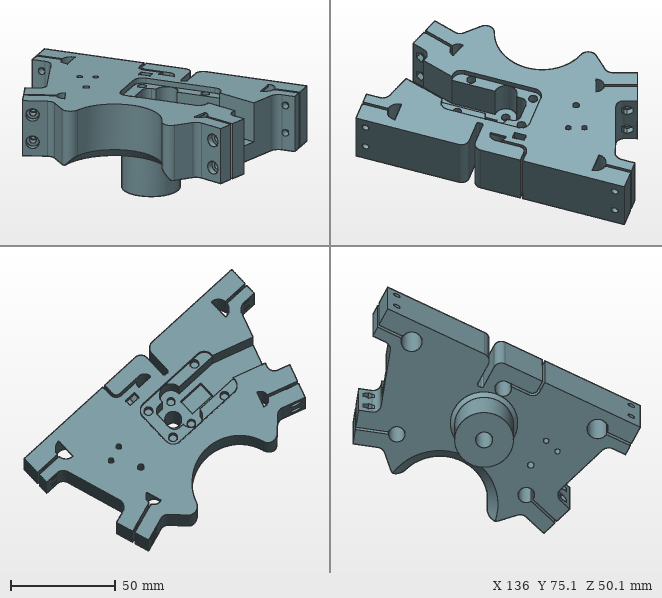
import cadquery as cq
import math

body_height = 28.3
mid_height = body_height / 2
half_width = 68.0
back_y = 32.0
slit_width = 1.2
corner_radius = 4.0

arm_underside_y = 16.0
shoulder_radius = 4.5
upper_slit_y = 21.9
upper_relief_radius = 5.0
upper_relief_x = 50.0
upper_screw_heights = (9.0, 23.0)

arm_tilt = 18.0
slit_mouth = (53.9, -30.2)
arm_above_slit = 9.5
arm_below_slit = 8.2
flank_inset = 10.3
lower_relief_radius = 4.0
lower_relief_inset = 20.0
lower_screw_heights = (7.1, 21.1)

screw_inset = 4.9
screw_diameter = 3.4
head_diameter = 6.4
head_depth = 3.3
nut_across_flats = 5.6
nut_depth = 3.0

relief_skin = 1.1

bay_radius = 23.0
bay_center_y = -47.0
bay_bevel = 4.9
toe_radius = 4.4
knee_radius = 4.0
toe_line_offset = 71.0

boss_radius = 14.1
boss_length = 21.8
boss_flare = 2.0
bore_diameter = 8.2

ledge_left = -12.2
ledge_right = 32.5
ledge_half_width = 12.8
ledge_depth = 2.7
ledge_corner_radius = 4.5
ledge_hole_diameter = 4.2
ledge_hole_depth = 5.5
ledge_hole_points = [(-8.2, 8.7), (-8.2, -8.7), (23.8, 10.6), (23.8, -10.6)]
cavity_left = -6.1
cavity_half_width = 7.3
cavity_depth = 20.0
cavity_corner_radius = 3.5
lobe_radius = 5.5
lobe_points = [(5.2, 7.2), (5.2, -7.2)]
lobe_hole_diameter = 4.0
floor_hole_depth = 4.1
floor_pocket_x = (8.7, 21.9)
floor_pocket_width = 8.3

notch_x = 10.3
notch_width = 3.1
notch_bottom_y = 15.9
notch_bottom_radius = 1.0
hook_slit_x = -15.9
hook_slit_y = 23.4
hook_bend_radius = 3.3
hook_end_x = -0.1
hook_relief_radius = 4.0

vee_x = (-13.0, -7.2)
vee_y = (16.3, 19.6)
vee_wall = 4.1
vee_slope = 30.0

small_holes = [(-38.1, 2.9, 2.6), (-30.7, 5.3, 2.6), (-29.8, -9.2, 3.1)]

tilt = math.radians(arm_tilt)


def on_arm(u, v):
    """Point of the right lower arm, given along (u) and across (v) the arm."""
    x = slit_mouth[0] + u * math.cos(tilt) + v * math.sin(tilt)
    y = slit_mouth[1] - u * math.sin(tilt) + v * math.cos(tilt)
    return (x, y)


def mirrored(point):
    return (-point[0], point[1])


def block(x_range, y_range, z_range):
    """Axis-aligned box between the given limits."""
    return (
        cq.Workplane("XY", origin=(0, 0, z_range[0]))
        .moveTo(sum(x_range) / 2, sum(y_range) / 2)
        .rect(x_range[1] - x_range[0], y_range[1] - y_range[0])
        .extrude(z_range[1] - z_range[0])
    )


def from_top(depth):
    """Height range of a pocket cut down from the top face."""
    return (body_height - depth, body_height)


def round_edge(solid, point, radius):
    """Round the upright edge that stands nearest to the given point."""
    target = (point[0], point[1], mid_height)
    return solid.edges("|Z").edges(cq.NearestToPointSelector(target)).fillet(radius)


def with_mirror(solid):
    return solid.union(solid.mirror("YZ"))


def make_body():
    flank_x, flank_y = on_arm(-flank_inset, 0)
    flank_top = (flank_x + (arm_underside_y - flank_y) * math.tan(tilt), arm_underside_y)
    armpit = on_arm(-flank_inset, arm_above_slit)
    base_x, base_y = on_arm(0, -arm_below_slit)
    knee_u = (toe_line_offset - (base_x - base_y)) / (math.cos(tilt) + math.sin(tilt))
    knee = on_arm(knee_u, -arm_below_slit)
    reach = toe_line_offset + bay_center_y
    toe_x = (reach + math.sqrt(2 * bay_radius**2 - reach**2)) / 2
    toe = (toe_x, toe_x - toe_line_offset)

    right_side = [
        (half_width, back_y),
        (half_width, arm_underside_y),
        flank_top,
        armpit,
        on_arm(0, arm_above_slit),
        on_arm(0, -arm_below_slit),
        knee,
        toe,
    ]
    left_side = [mirrored(point) for point in reversed(right_side)]
    body = (
        cq.Workplane("XY")
        .polyline(right_side)
        .threePointArc((0, bay_center_y + bay_radius), mirrored(toe))
        .polyline(left_side, includeCurrent=False)
        .close()
        .extrude(body_height)
    )
    roundings = [
        (flank_top, shoulder_radius),
        (armpit, corner_radius),
        (knee, knee_radius),
        (toe, toe_radius),
    ]
    for corner, radius in roundings:
        body = round_edge(body, corner, radius)
        body = round_edge(body, mirrored(corner), radius)
    bevel = cq.Workplane("XY").add(
        cq.Solid.makeCone(bay_radius + bay_bevel, bay_radius, bay_bevel, pnt=cq.Vector(0, bay_center_y, 0))
    )
    return body.cut(bevel)


def make_boss():
    profile = [
        (0, 0),
        (boss_radius + boss_flare, 0),
        (boss_radius, -boss_flare),
        (boss_radius, -boss_length),
        (0, -boss_length),
    ]
    return cq.Workplane("XZ").polyline(profile).close().revolve(360, (0, 0, 0), (0, 1, 0))


def skinned_relief(radius):
    """Round hole on the Z axis; in the skin under the top face only its half at x > 0 is open."""
    hole = cq.Workplane("XY").circle(radius).extrude(body_height)
    skin = block((-radius, 0), (-radius, radius), from_top(relief_skin))
    return hole.cut(skin)


def clamp_cut(length, relief_radius):
    """Slit along X from x = 0 inward, ending in a relief whose covered half is on the inner side."""
    slit = block((-length, 0), (-slit_width / 2, slit_width / 2), (0, body_height))
    return slit.union(skinned_relief(relief_radius).translate((-length, 0, 0)))


def upper_arm_cuts():
    cuts = clamp_cut(half_width - upper_relief_x, upper_relief_radius)
    cuts = cuts.translate((half_width, upper_slit_y, 0))
    screw_length = back_y - arm_underside_y + shoulder_radius
    for height in upper_screw_heights:
        screw = (
            cq.Workplane("XZ", origin=(half_width - screw_inset, back_y, height))
            .circle(screw_diameter / 2)
            .extrude(screw_length)
        )
        cuts = cuts.union(screw)
    return with_mirror(cuts)


def lower_arm_cuts():
    cuts = clamp_cut(lower_relief_inset, lower_relief_radius)
    for height in lower_screw_heights:
        nut_face = cq.Workplane("XZ", origin=(-screw_inset, arm_above_slit, height))
        head_face = cq.Workplane("XZ", origin=(-screw_inset, -arm_below_slit, height))
        screw = nut_face.circle(screw_diameter / 2).extrude(arm_above_slit + arm_below_slit)
        nut = (
            nut_face.transformed(rotate=(0, 0, 90))
            .polygon(6, nut_across_flats / math.cos(math.pi / 6))
            .extrude(nut_depth)
        )
        head = head_face.circle(head_diameter / 2).extrude(-head_depth)
        cuts = cuts.union(screw).union(nut).union(head)
    cuts = cuts.rotate((0, 0, 0), (0, 0, 1), -arm_tilt).translate((*slit_mouth, 0))
    return with_mirror(cuts)


def top_recess():
    floor = body_height - cavity_depth
    ledge = block((ledge_left, ledge_right), (-ledge_half_width, ledge_half_width), from_top(ledge_depth))
    ledge = ledge.edges("|Z").fillet(ledge_corner_radius)
    cavity = block(
        (cavity_left, ledge_right),
        (-cavity_half_width, cavity_half_width),
        from_top(cavity_depth),
    )
    cavity = cavity.edges("|Z and <X").fillet(cavity_corner_radius)
    lobes = (
        cq.Workplane("XY", origin=(0, 0, floor))
        .pushPoints(lobe_points)
        .circle(lobe_radius)
        .extrude(cavity_depth)
    )
    channel_run = half_width - ledge_right
    channel_drop = channel_run * math.tan(tilt)
    channel = (
        cq.Workplane("XY", origin=(0, 0, floor))
        .moveTo(ledge_right, cavity_half_width)
        .lineTo(ledge_right + channel_run, cavity_half_width - channel_drop)
        .lineTo(ledge_right + channel_run, -cavity_half_width - channel_drop)
        .lineTo(ledge_right, -cavity_half_width)
        .close()
        .extrude(cavity_depth)
    )
    ledge_holes = (
        cq.Workplane("XY", origin=(0, 0, body_height - ledge_depth))
        .pushPoints(ledge_hole_points)
        .circle(ledge_hole_diameter / 2)
        .extrude(-ledge_hole_depth)
    )
    lobe_holes = (
        cq.Workplane("XY", origin=(0, 0, floor))
        .pushPoints(lobe_points)
        .circle(lobe_hole_diameter / 2)
        .extrude(-floor_hole_depth)
    )
    floor_pocket = block(
        floor_pocket_x,
        (-floor_pocket_width / 2, floor_pocket_width / 2),
        (floor - floor_hole_depth, floor),
    )
    bore = (
        cq.Workplane("XY", origin=(0, 0, -boss_length))
        .circle(bore_diameter / 2)
        .extrude(boss_length + floor)
    )
    recess = ledge
    for cut in (cavity, lobes, channel, ledge_holes, lobe_holes, floor_pocket, bore):
        recess = recess.union(cut)
    return recess


def hook_slit():
    """L-shaped slit from the back edge, ending in a relief whose covered half faces the front."""
    half_slit = slit_width / 2
    outer_corner = (hook_slit_x - half_slit, hook_slit_y - half_slit)
    inner_corner = (hook_slit_x + half_slit, hook_slit_y + half_slit)
    slit = (
        cq.Workplane("XY")
        .moveTo(outer_corner[0], back_y)
        .lineTo(*outer_corner)
        .lineTo(hook_end_x, outer_corner[1])
        .lineTo(hook_end_x, inner_corner[1])
        .lineTo(*inner_corner)
        .lineTo(inner_corner[0], back_y)
        .close()
        .extrude(body_height)
    )
    slit = round_edge(slit, outer_corner, hook_bend_radius + half_slit)
    slit = round_edge(slit, inner_corner, hook_bend_radius - half_slit)
    relief_y = inner_corner[1] - hook_relief_radius
    relief = skinned_relief(hook_relief_radius).rotate((0, 0, 0), (0, 0, 1), 90)
    relief = relief.translate((hook_end_x, relief_y, 0))
    return slit.union(relief)


def cut_notch(body):
    """Straight notch in the back edge, with rounded mouth and bottom corners."""
    sides = (notch_x - notch_width / 2, notch_x + notch_width / 2)
    notch = block(sides, (notch_bottom_y, back_y), (0, body_height))
    notch = notch.edges("|Z and <Y").fillet(notch_bottom_radius)
    body = body.cut(notch)
    for side in sides:
        body = round_edge(body, (side, back_y), corner_radius)
    return body


def vee_pocket():
    """Upright-walled pocket whose floor is two shallow slopes meeting in the middle."""
    half_span = (vee_x[1] - vee_x[0]) / 2
    wall_foot = body_height - vee_wall
    return (
        cq.Workplane("XZ", origin=(0, vee_y[1], 0))
        .moveTo(vee_x[0], body_height)
        .lineTo(vee_x[0], wall_foot)
        .lineTo(vee_x[0] + half_span, wall_foot - half_span * math.tan(math.radians(vee_slope)))
        .lineTo(vee_x[1], wall_foot)
        .lineTo(vee_x[1], body_height)
        .close()
        .extrude(vee_y[1] - vee_y[0])
    )


def drilled_holes():
    holes = cq.Workplane("XY")
    for x, y, diameter in small_holes:
        holes = holes.union(cq.Workplane("XY").center(x, y).circle(diameter / 2).extrude(body_height))
    return holes


result = cut_notch(make_body()).union(make_boss())
for feature in (upper_arm_cuts, lower_arm_cuts, top_recess, hook_slit, vee_pocket, drilled_holes):
    result = result.cut(feature())